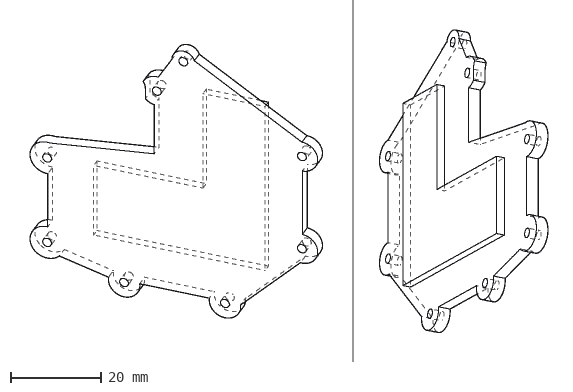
import cadquery as cq


plate_thickness = 3.0
pad_thickness = 2.0

hole_diameter = 2.1
left_ear_radius = 4.1
ear_radius = 3.75
top_ear_radius = 2.75

plate_width = 68.46
plate_height = 67.19

ear_pitch = 24.0
left_ear_pitch = 22.0
left_hole_x = left_ear_radius
left_low_hole_z = 10.05
bottom_hole_x = 22.4
bottom_hole_z = ear_radius
right_hole_x = plate_width - ear_radius
right_low_hole_z = 22.15

left_low_hole = (left_hole_x, left_low_hole_z)
left_high_hole = (left_hole_x, left_low_hole_z + left_ear_pitch)
bottom_left_hole = (bottom_hole_x, bottom_hole_z)
bottom_right_hole = (bottom_hole_x + ear_pitch, bottom_hole_z)
right_low_hole = (right_hole_x, right_low_hole_z)
right_high_hole = (right_hole_x, right_low_hole_z + ear_pitch)
top_hole = (36.5, plate_height - top_ear_radius)
notch_hole = (30.2, 55.35)

ears = [
    (left_low_hole, left_ear_radius),
    (left_high_hole, left_ear_radius),
    (bottom_left_hole, ear_radius),
    (bottom_right_hole, ear_radius),
    (right_low_hole, ear_radius),
    (right_high_hole, ear_radius),
    (top_hole, top_ear_radius),
    (notch_hole, ear_radius),
]

left_edge_x = 4.25
right_edge_x = 64.8
bottom_edge_z = 4.25
inner_corner_x = 29.55
inner_corner_z = 38.9
wing_slope_start = (4.8, 36.09)
low_slope_start = (7.0, 7.15)
low_slope_end_x = 18.8
corner_cut_low_x = 50.2
corner_cut_high_x = 64.35
long_slope_start = (39.1, 65.3)
short_slope_low = (30.2, 58.52)
short_slope_high = (33.75, 64.4)

trim_x = 27.45
trim_bend_z = 55.3
trim_tip = (26.93, 57.2)

pad_left_x = 14.0
pad_step_x = 40.0
pad_right_x = 54.8
pad_bottom_z = 12.5
pad_step_z = 30.6
pad_top_z = 55.2


def extrude_outline(points, start_y, thickness):
    """Extrude a closed (X, Z) outline toward +Y from the plane Y = start_y."""
    plane = cq.Workplane("XZ", origin=(0, start_y, 0))
    return plane.polyline(points).close().extrude(-thickness)


def make_disc(center, radius):
    """Disc through the plate thickness, centred at (X, Z)."""
    return cq.Workplane("XZ").center(*center).circle(radius).extrude(-plate_thickness)


def make_body():
    """Straight-edged plate; its outer corners end inside the ears."""
    outline = [
        (left_edge_x, left_high_hole[1]),
        wing_slope_start,
        (inner_corner_x, inner_corner_z),
        (inner_corner_x, notch_hole[1]),
        short_slope_low,
        short_slope_high,
        long_slope_start,
        (right_hole_x, right_high_hole[1] + ear_radius),
        (right_edge_x, right_high_hole[1]),
        (right_edge_x, right_low_hole[1]),
        (corner_cut_high_x, right_low_hole[1] - ear_radius),
        (corner_cut_low_x, bottom_edge_z),
        (low_slope_end_x, bottom_edge_z),
        low_slope_start,
        (left_edge_x, left_low_hole[1]),
    ]
    return extrude_outline(outline, 0, plate_thickness)


def make_trimmed_strip():
    """Material removed from the left side of the ear beside the inner corner."""
    ear_left_x = notch_hole[0] - ear_radius
    ear_bottom_z = notch_hole[1] - ear_radius
    return (
        cq.Workplane("XZ")
        .moveTo(trim_x, ear_bottom_z)
        .lineTo(trim_x, trim_bend_z)
        .tangentArcPoint(trim_tip, relative=False)
        .lineTo(ear_left_x, trim_tip[1])
        .lineTo(ear_left_x, ear_bottom_z)
        .close()
        .extrude(-plate_thickness)
    )


def make_pad():
    """L-shaped pad standing on the back face of the plate."""
    outline = [
        (pad_left_x, pad_bottom_z),
        (pad_right_x, pad_bottom_z),
        (pad_right_x, pad_top_z),
        (pad_step_x, pad_top_z),
        (pad_step_x, pad_step_z),
        (pad_left_x, pad_step_z),
    ]
    return extrude_outline(outline, plate_thickness, pad_thickness)


plate = make_body()
for ear_center, radius in ears:
    plate = plate.union(make_disc(ear_center, radius))

plate = plate.cut(make_trimmed_strip())

for ear_center, radius in ears:
    plate = plate.cut(make_disc(ear_center, hole_diameter / 2))

result = plate.union(make_pad())